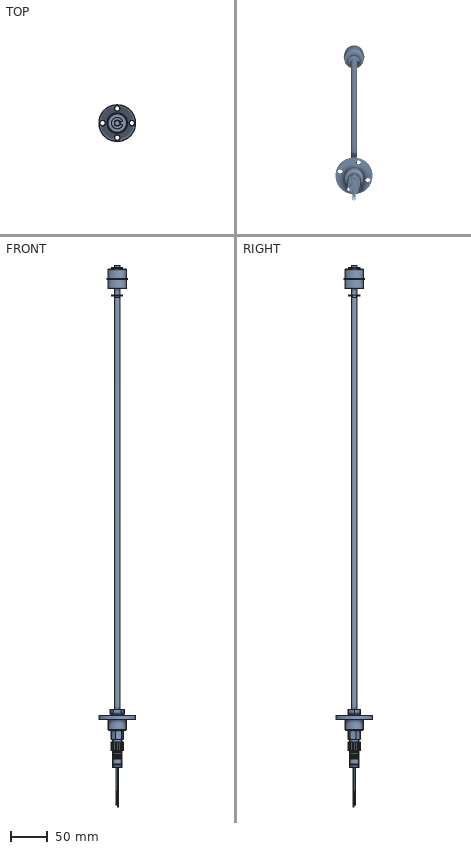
import cadquery as cq
import math


STEM_DIA = 8.0
STEM_TOP = 736.5
GROOVE_DIA = 7.0
GROOVE_WIDTH = 3.0

CLIP_DIA = 15.5
CLIP_MOUTH = 4.5
CLIP_THICKNESS = 1.1
CLIP_TOPS = (696.0, 733.5)

FLOAT_DIA = 26.0
FLOAT_BORE = 9.0
FLOAT_BOTTOM = 705.0
FLOAT_HEIGHT = 26.5
FLOAT_FILLET = 1.1
SEAM_DIA = 28.0
SEAM_THICKNESS = 1.5

FLANGE_DIA = 50.0
FLANGE_BOTTOM = 118.5
FLANGE_THICKNESS = 6.0
BOLT_HOLE_DIA = 7.0
BOLT_CIRCLE_DIA = 40.0
BOLT_HOLES = 4
NUT_FLATS = 17.0
NUT_CHAMFER = 1.0
NUT_HEIGHT = 6.5
COLLAR_DIA = 17.0
COLLAR_HEIGHT = 1.5
HOUSING_DIA = 25.0
HOUSING_HEIGHT = 15.0
HOUSING_CHAMFER = 1.5

GLAND_HEX_FLATS = 15.0
GLAND_HEX_TURN = 15
GLAND_HEX_HEIGHT = 12.5
GLAND_HEX_CHAMFER = 1.1
NECK_DIA = 12.5
NECK_HEIGHT = 3.0
CAP_DIA = 17.0
CAP_HEIGHT = 12.0
CAP_FLUTES = 16
FLUTE_DIA = 2.0
GUARD_DIA = 12.5
GUARD_HEIGHT = 23.0
GUARD_GROOVES = 4
GUARD_GROOVE_DIA = 11.0
GUARD_PITCH = 3.0
GUARD_GROOVE_WIDTH = GUARD_PITCH / 2
GUARD_LIP = 3.0

CABLE_DIA = 4.0
CABLE_END = 21.0
WIRE_DIA = 1.4
WIRE_RADIUS = 1.25
WIRE_ENDS = ((-35, 0.0), (145, 2.0))

STEM_BOTTOM = FLANGE_BOTTOM
FLANGE_TOP = FLANGE_BOTTOM + FLANGE_THICKNESS
NUT_BOTTOM = FLANGE_TOP + COLLAR_HEIGHT
HOUSING_BOTTOM = FLANGE_BOTTOM - HOUSING_HEIGHT
HEX_BOTTOM = HOUSING_BOTTOM - GLAND_HEX_HEIGHT
CAP_TOP = HEX_BOTTOM - NECK_HEIGHT
GUARD_TOP = CAP_TOP - CAP_HEIGHT
GUARD_BOTTOM = GUARD_TOP - GUARD_HEIGHT


def cylinder(diameter, bottom, height):
    return cq.Workplane("XY").workplane(offset=bottom).circle(diameter / 2).extrude(height)


def ring(outer, inner, bottom, height):
    return cylinder(outer, bottom, height).cut(cylinder(inner, bottom, height))


def hexagon(flats, bottom, height, chamfer):
    """Hexagonal prism with two corners on the X axis and its corners turned down at both ends."""
    corners = flats / math.cos(math.pi / 6)
    prism = cq.Workplane("XY").workplane(offset=bottom).polygon(6, corners).extrude(height)
    return prism.intersect(cylinder(corners, bottom, height).edges().chamfer(chamfer))


def make_stem():
    stem = cylinder(STEM_DIA, STEM_BOTTOM, STEM_TOP - STEM_BOTTOM)
    for top in CLIP_TOPS:
        stem = stem.cut(ring(STEM_DIA, GROOVE_DIA, top - GROOVE_WIDTH, GROOVE_WIDTH))
    return stem


def make_clip(top):
    """Clip against the upper side of a stem groove, split by a mouth toward +X."""
    base = top - CLIP_THICKNESS
    clip = ring(CLIP_DIA, GROOVE_DIA, base, CLIP_THICKNESS)
    mouth = cq.Workplane("XY").box(
        CLIP_DIA, CLIP_MOUTH, CLIP_THICKNESS, centered=(False, True, False)
    )
    return clip.cut(mouth.translate((0, 0, base)))


def make_float():
    """Cylindrical float with rounded ends and a weld seam around its middle."""
    shell = cylinder(FLOAT_DIA, FLOAT_BOTTOM, FLOAT_HEIGHT).edges("%CIRCLE").fillet(FLOAT_FILLET)
    middle = FLOAT_BOTTOM + FLOAT_HEIGHT / 2
    seam = cylinder(SEAM_DIA, middle - SEAM_THICKNESS / 2, SEAM_THICKNESS)
    return shell.union(seam).cut(cylinder(FLOAT_BORE, FLOAT_BOTTOM, FLOAT_HEIGHT))


def make_flange():
    """Drilled flange with a collar and hexagon above it and a cylindrical housing below."""
    flange = cylinder(FLANGE_DIA, FLANGE_BOTTOM, FLANGE_THICKNESS)
    bolt_holes = (
        cq.Workplane("XY").workplane(offset=FLANGE_BOTTOM)
        .polarArray(BOLT_CIRCLE_DIA / 2, 0, 360, BOLT_HOLES)
        .circle(BOLT_HOLE_DIA / 2).extrude(FLANGE_THICKNESS)
    )
    nut = hexagon(NUT_FLATS, NUT_BOTTOM, NUT_HEIGHT, NUT_CHAMFER)
    collar = cylinder(COLLAR_DIA, FLANGE_TOP, COLLAR_HEIGHT)
    housing = cylinder(HOUSING_DIA, HOUSING_BOTTOM, HOUSING_HEIGHT)
    housing = housing.faces("<Z").edges().chamfer(HOUSING_CHAMFER)
    stem_hole = cylinder(STEM_DIA, STEM_BOTTOM, NUT_BOTTOM + NUT_HEIGHT - STEM_BOTTOM)
    plate = flange.cut(bolt_holes)
    return plate.union(collar).union(nut).union(housing).cut(stem_hole)


def make_gland_cap():
    """Cylindrical cap nut with grip flutes around its rim."""
    flutes = (
        cq.Workplane("XY").workplane(offset=GUARD_TOP)
        .polarArray(CAP_DIA / 2, 0, 360, CAP_FLUTES)
        .circle(FLUTE_DIA / 2).extrude(CAP_HEIGHT)
    )
    return cylinder(CAP_DIA, GUARD_TOP, CAP_HEIGHT).cut(flutes)


def make_bend_guard():
    """Ribbed sleeve with a plain band and a grooved lip at its lower end."""
    guard = cylinder(GUARD_DIA, GUARD_BOTTOM, GUARD_HEIGHT)
    groove_bottoms = [GUARD_TOP - (i + 1) * GUARD_PITCH for i in range(GUARD_GROOVES)]
    groove_bottoms.append(GUARD_BOTTOM + GUARD_LIP)
    for bottom in groove_bottoms:
        guard = guard.cut(ring(GUARD_DIA, GUARD_GROOVE_DIA, bottom, GUARD_GROOVE_WIDTH))
    return guard


def make_gland():
    """Hexagon, neck, cap and bend guard as one solid around the cable."""
    hex_body = hexagon(GLAND_HEX_FLATS, HEX_BOTTOM, GLAND_HEX_HEIGHT, GLAND_HEX_CHAMFER)
    hex_body = hex_body.rotate((0, 0, 0), (0, 0, 1), GLAND_HEX_TURN)
    neck = cylinder(NECK_DIA, CAP_TOP, NECK_HEIGHT)
    cable_hole = cylinder(CABLE_DIA, GUARD_BOTTOM, HOUSING_BOTTOM - GUARD_BOTTOM)
    return hex_body.union(neck).union(make_gland_cap()).union(make_bend_guard()).cut(cable_hole)


def make_wire(angle, end):
    x = WIRE_RADIUS * math.cos(math.radians(angle))
    y = WIRE_RADIUS * math.sin(math.radians(angle))
    return cylinder(WIRE_DIA, end, HOUSING_BOTTOM - end).translate((x, y, 0))


def make_cable(wires):
    cable = cylinder(CABLE_DIA, CABLE_END, HOUSING_BOTTOM - CABLE_END)
    for wire in wires:
        cable = cable.cut(wire)
    return cable


stem = make_stem()
clips = [make_clip(top) for top in CLIP_TOPS]
float_body = make_float()
flange = make_flange()
gland = make_gland()
wires = [make_wire(angle, end) for angle, end in WIRE_ENDS]
cable = make_cable(wires)

result = cq.Compound.makeCompound([
    stem.val(),
    *[clip.val() for clip in clips],
    float_body.val(),
    flange.val(),
    gland.val(),
    cable.val(),
    *[wire.val() for wire in wires],
])